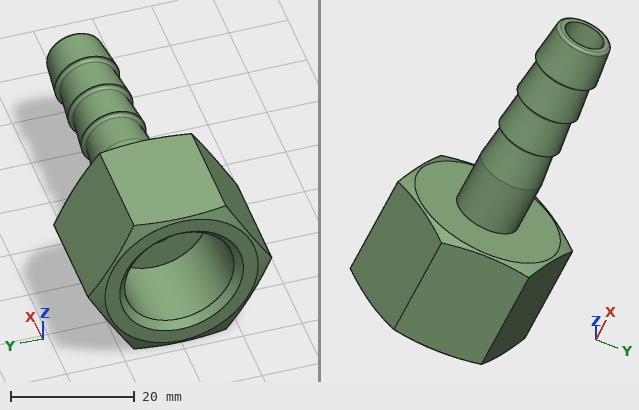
import cadquery as cq
import math

TOTAL_LENGTH = 57.0
NUT_LENGTH = 20.0
ACROSS_FLATS = 27.0
NUT_FACE_RADIUS = 13.0
CORNER_CHAMFER_LENGTH = 0.9

BORE_RADIUS = 9.3
BORE_MOUTH_RADIUS = 10.5
BACK_WALL = 3.0

FLANGE_RADIUS = 9.0
FLANGE_THICKNESS = 3.0
SHANK_RADIUS = 5.55
PASSAGE_RADIUS = 3.5
PASSAGE_CHAMFER = 0.4

BARB_COUNT = 4
BARB_PITCH = 6.95
BARB_ROOT_RADIUS = 4.75
BARB_ROOT_FILLET = 0.5
RADIUS_TOLERANCE = 0.0005

across_corners = ACROSS_FLATS / math.cos(math.pi / 6)
corner_radius = across_corners / 2
flange_back = NUT_LENGTH - BACK_WALL
flange_front = flange_back - FLANGE_THICKNESS
barbs_start = TOTAL_LENGTH - BARB_COUNT * BARB_PITCH


def revolve_about_x(outline):
    """Turn a closed (x, radius) outline into a round solid about the X axis."""
    return cq.Workplane("XY").polyline(outline).close().revolve(360, (0, 0, 0), (1, 0, 0))


def make_chamfer_envelope():
    """Round body whose conical ends trim the hexagon corners."""
    return revolve_about_x([
        (0, 0),
        (0, NUT_FACE_RADIUS),
        (CORNER_CHAMFER_LENGTH, corner_radius),
        (NUT_LENGTH - CORNER_CHAMFER_LENGTH, corner_radius),
        (NUT_LENGTH, NUT_FACE_RADIUS),
        (NUT_LENGTH, 0),
    ])


def make_nut_cavity():
    """Lead-in, main bore and the shank hole through the back wall."""
    lead_in = BORE_MOUTH_RADIUS - BORE_RADIUS
    return revolve_about_x([
        (0, 0),
        (0, BORE_MOUTH_RADIUS),
        (lead_in, BORE_RADIUS),
        (flange_back, BORE_RADIUS),
        (flange_back, SHANK_RADIUS),
        (NUT_LENGTH, SHANK_RADIUS),
        (NUT_LENGTH, 0),
    ])


def make_nut():
    """Hexagonal nut along X, with flats facing up and down."""
    hexagon = cq.Workplane("YZ").polygon(6, across_corners).extrude(NUT_LENGTH)
    return hexagon.intersect(make_chamfer_envelope()).cut(make_nut_cavity())


def barb_outline():
    """Points of the tapered barbs from the end of the shank to the tip."""
    points = []
    for i in range(BARB_COUNT):
        crest = barbs_start + i * BARB_PITCH
        points.append((crest, SHANK_RADIUS))
        points.append((crest + BARB_PITCH, BARB_ROOT_RADIUS))
    return points


def is_barb_root(edge):
    """True for the circles where a barb's taper ends, the tip included."""
    return edge.geomType() == "CIRCLE" and abs(edge.radius() - BARB_ROOT_RADIUS) < RADIUS_TOLERANCE


def make_passage():
    """Through passage with a small chamfer at the flange face."""
    return revolve_about_x([
        (flange_front, 0),
        (flange_front, PASSAGE_RADIUS + PASSAGE_CHAMFER),
        (flange_front + PASSAGE_CHAMFER, PASSAGE_RADIUS),
        (TOTAL_LENGTH, PASSAGE_RADIUS),
        (TOTAL_LENGTH, 0),
    ])


def make_hose_tail():
    """Flange, shank and barbs, hollow from end to end."""
    body = revolve_about_x([
        (flange_front, 0),
        (flange_front, FLANGE_RADIUS),
        (flange_back, FLANGE_RADIUS),
        (flange_back, SHANK_RADIUS),
        *barb_outline(),
        (TOTAL_LENGTH, 0),
    ])
    rounded = body.edges().filter(is_barb_root).fillet(BARB_ROOT_FILLET)
    return rounded.cut(make_passage())


nut = make_nut()
hose_tail = make_hose_tail()

result = cq.Compound.makeCompound([nut.val(), hose_tail.val()])